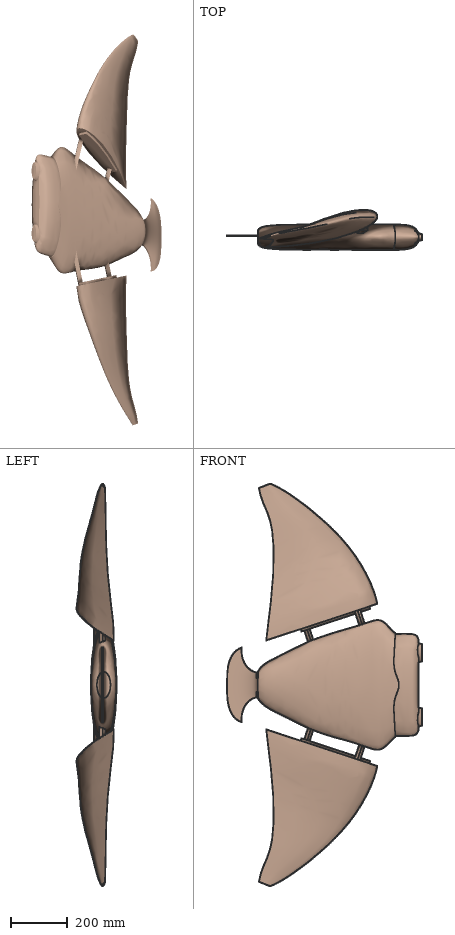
import cadquery as cq
import math


BODY_SECTIONS = [
    (109, 46, 24),
    (118, 60, 33),
    (135, 75, 39),
    (194, 107, 44),
    (279, 149, 45.6),
    (370, 182, 45.6),
    (463, 209, 45.6),
    (510, 225, 45.6),
    (535, 228, 45.6),
    (562, 212, 45.6),
    (590, 184, 45.6),
    (612, 180.6, 45.6),
]
HEAD_SECTIONS = [
    (578, 179.5, 44.4),
    (602, 180, 44.6),
    (626, 180, 43.6),
    (645, 179.5, 40),
    (659, 177, 33),
    (668, 171, 24),
    (674, 158, 15),
]

SEAM_POINTS = [(605, 0), (592, 44), (588, 110), (592, 180)]
SEAM_OUTER_X = 600
SEAM_OUTER_Z = 240

EYE_TIP_X = 686.32
EYE_BASE_X = 660
EYE_Z = 113
EYE_HALF_WIDTH = 38
EYE_HALF_THICKNESS = 18
EYE_TAPER = 16

TAIL_Y = 4.9
TAIL_THICKNESS = 5
TAIL_FRONT_X = 104
TAIL_FRONT_HALF = 44
TAIL_TIP = (53, 132)
TAIL_REAR_CURVE = [(5, 70), (17, 102)]
TAIL_FRONT_CURVE = [(54, 100), (71, 64)]
HINGE_HALF = 25
HINGE_END_X = 130

WING_SECTIONS = [
    ((138, -36, 156), (529, 72, 285), 0.288, 0.22),
    ((155, -24, 300), (478, 70, 412), 0.235, 0.20),
    ((164, -12, 430), (414, 61, 502), 0.205, 0.16),
    ((159, -8, 540), (339, 43, 578), 0.185, 0.13),
    ((140, -7, 610), (253, 26, 648), 0.20, 0.13),
    ((112, -5, 692), (152, 4, 707.715), 0.20, 0.13),
]

PAD_THICKNESS = 9
PAD_PLUS_SCALE = 0.75
PAD_MINUS_SCALE = 0.45
PAD_STEPS = [0.31, 0.5, 0.7, 0.85, 0.93]
STRUT_SIDE = 14.5
STRUT_TWIST = 40
STRUT_LENGTH = 120
STRUTS = [(0.36, 5), (0.82, 24)]


def elliptical_loft(sections):
    wires = []
    for x, half_width, half_thickness in sections:
        plane = cq.Plane(origin=(x, 0, 0), xDir=(0, 0, 1), normal=(1, 0, 0))
        wires.append(cq.Workplane(plane).ellipse(half_width, half_thickness).wires().val())
    return cq.Workplane(cq.Solid.makeLoft(wires))


def make_body():
    lower_seam = [(x, -z) for x, z in reversed(SEAM_POINTS[1:])]
    depth = 2 * max(section[2] for section in BODY_SECTIONS)
    trim = (
        cq.Workplane("XZ")
        .moveTo(0, -SEAM_OUTER_Z)
        .lineTo(SEAM_OUTER_X, -SEAM_OUTER_Z)
        .lineTo(*lower_seam[0])
        .spline(lower_seam[1:] + SEAM_POINTS, includeCurrent=True)
        .lineTo(SEAM_OUTER_X, SEAM_OUTER_Z)
        .lineTo(0, SEAM_OUTER_Z)
        .close()
        .extrude(depth, both=True)
    )
    return elliptical_loft(BODY_SECTIONS).intersect(trim)


def make_eye(side):
    plane = cq.Plane(origin=(EYE_BASE_X, 0, side * EYE_Z), xDir=(0, 0, 1), normal=(1, 0, 0))
    return (
        cq.Workplane(plane)
        .ellipse(EYE_HALF_WIDTH, EYE_HALF_THICKNESS)
        .extrude(EYE_TIP_X - EYE_BASE_X, taper=EYE_TAPER)
    )


def make_tail():
    lower_rear = [(x, -z) for x, z in reversed(TAIL_REAR_CURVE)]
    lower_front = [(x, -z) for x, z in reversed(TAIL_FRONT_CURVE)]
    lower_tip = (TAIL_TIP[0], -TAIL_TIP[1])
    fin = (
        cq.Workplane("XZ", origin=(0, TAIL_Y, 0))
        .moveTo(*lower_tip)
        .spline(lower_rear + [(0, 0)] + TAIL_REAR_CURVE + [TAIL_TIP], includeCurrent=True)
        .spline(TAIL_FRONT_CURVE + [(TAIL_FRONT_X, TAIL_FRONT_HALF)], includeCurrent=True)
        .lineTo(TAIL_FRONT_X, -TAIL_FRONT_HALF)
        .spline(lower_front + [lower_tip], includeCurrent=True)
        .close()
        .extrude(TAIL_THICKNESS / 2, both=True)
    )
    hinge = cq.Workplane("XY").box(
        HINGE_END_X - TAIL_FRONT_X, TAIL_THICKNESS, 2 * HINGE_HALF, centered=(False, True, True)
    )
    return fin.union(hinge.translate((TAIL_FRONT_X, TAIL_Y, 0)))


def chord_line(section):
    """Trailing edge point of a wing section and the vector to its leading edge."""
    trailing, leading = (cq.Vector(*point) for point in section[:2])
    return trailing, leading - trailing


def profile_point(section, fraction, bulge):
    """Point on a wing section, at a chord fraction measured from the trailing edge."""
    trailing, chord = chord_line(section)
    offset = bulge * chord.Length * fraction * math.sqrt(1 - fraction)
    return trailing + chord * fraction + cq.Vector(0, offset, 0)


def wing_surface_edge(section, bulge):
    """Cubic curve through every profile point of one surface, trailing to leading edge."""
    trailing, chord = chord_line(section)
    leading = trailing + chord
    height = cq.Vector(0, bulge * chord.Length, 0)
    return cq.Edge.makeBezier(
        [trailing, trailing + (chord + height) * (2 / 3), leading + height * (1 / 3), leading]
    )


def wing_wire(section):
    plus_bulge, minus_bulge = section[2:]
    edges = [wing_surface_edge(section, bulge) for bulge in (plus_bulge, -minus_bulge)]
    return cq.Wire.assembleEdges(edges)


def make_wing():
    wing = cq.Workplane(cq.Solid.makeLoft([wing_wire(section) for section in WING_SECTIONS]))

    root = WING_SECTIONS[0]
    trailing, chord = chord_line(root)
    plus_bulge, minus_bulge = root[2:]
    inward = cq.Vector(chord.z, 0, -chord.x).normalized()

    upper = [profile_point(root, step, PAD_PLUS_SCALE * plus_bulge) for step in PAD_STEPS]
    lower = [profile_point(root, step, -PAD_MINUS_SCALE * minus_bulge) for step in PAD_STEPS]
    outline = cq.Wire.assembleEdges([
        cq.Edge.makeSpline(upper),
        cq.Edge.makeLine(upper[-1], lower[-1]),
        cq.Edge.makeSpline(lower[::-1]),
        cq.Edge.makeLine(lower[0], upper[0]),
    ])
    wing = wing.union(cq.Workplane(cq.Solid.extrudeLinear(outline, [], inward * PAD_THICKNESS)))

    for fraction, y in STRUTS:
        start = cq.Vector(trailing.x + fraction * chord.x, y, trailing.z + fraction * chord.z)
        plane = cq.Plane(origin=start, xDir=(0, 1, 0), normal=inward)
        strut = cq.Workplane(plane.rotated((0, 0, STRUT_TWIST))).rect(STRUT_SIDE, STRUT_SIDE)
        wing = wing.union(strut.extrude(STRUT_LENGTH))
    return wing


upper_wing = make_wing()
result = (
    make_body()
    .union(elliptical_loft(HEAD_SECTIONS))
    .union(make_eye(1))
    .union(make_eye(-1))
    .union(make_tail())
    .union(upper_wing)
    .union(upper_wing.mirror("XY"))
)